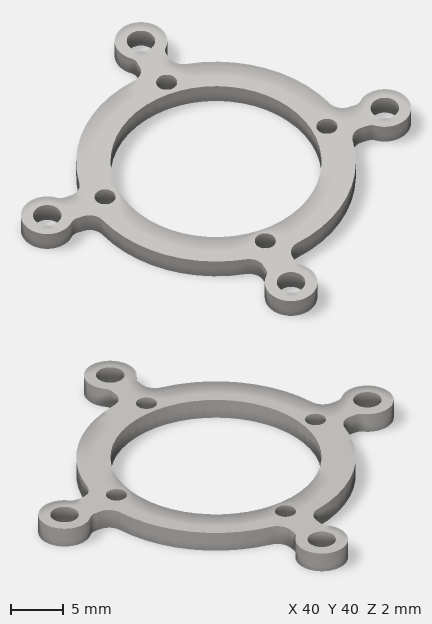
import cadquery as cq
import math

THICKNESS = 2.0
RING_INNER_RADIUS = 10.0
RING_OUTER_RADIUS = 13.25
ARM_COUNT = 4
ARM_WIDTH = 3.0
EAR_RADIUS = 2.5
EAR_CENTER_RADIUS = 17.5
EAR_HOLE_DIAMETER = 2.7
RING_HOLE_DIAMETER = 2.0
RING_HOLE_CENTER_RADIUS = 11.5
RING_FILLET_RADIUS = 1.5
EAR_FILLET_RADIUS = 1.0

ARM_STEP = 360.0 / ARM_COUNT


def around_ring(radius):
    """Workplane with one point per arm on a circle of the given radius."""
    return cq.Workplane("XY").polarArray(radius, 0, 360, ARM_COUNT)


def arm_outline():
    """Arm along +X from the ring centre to its ear, with concave blends at both ends."""
    half_width = ARM_WIDTH / 2

    ring_blend_y = half_width + RING_FILLET_RADIUS
    ring_blend_reach = RING_OUTER_RADIUS + RING_FILLET_RADIUS
    ring_blend_x = math.sqrt(ring_blend_reach**2 - ring_blend_y**2)
    ring_share = RING_OUTER_RADIUS / ring_blend_reach
    ring_tangent = (ring_blend_x * ring_share, ring_blend_y * ring_share)

    ear_blend_y = half_width + EAR_FILLET_RADIUS
    ear_blend_reach = EAR_RADIUS + EAR_FILLET_RADIUS
    ear_blend_x = EAR_CENTER_RADIUS - math.sqrt(ear_blend_reach**2 - ear_blend_y**2)
    ear_share = EAR_RADIUS / ear_blend_reach
    ear_tangent = (
        EAR_CENTER_RADIUS + (ear_blend_x - EAR_CENTER_RADIUS) * ear_share,
        ear_blend_y * ear_share,
    )

    def mirrored(point):
        return (point[0], -point[1])

    ring_side = (ring_blend_x, half_width)
    ear_side = (ear_blend_x, half_width)
    ear_tip = (EAR_CENTER_RADIUS + EAR_RADIUS, 0)

    return (
        cq.Workplane("XY")
        .lineTo(*ring_tangent)
        .radiusArc(ring_side, -RING_FILLET_RADIUS)
        .lineTo(*ear_side)
        .radiusArc(ear_tangent, -EAR_FILLET_RADIUS)
        .threePointArc(ear_tip, mirrored(ear_tangent))
        .radiusArc(mirrored(ear_side), -EAR_FILLET_RADIUS)
        .lineTo(*mirrored(ring_side))
        .radiusArc(mirrored(ring_tangent), -RING_FILLET_RADIUS)
        .close()
    )


def build_plate():
    """Ring disc with the arms and ears joined on, all of one thickness."""
    plate = cq.Workplane("XY").circle(RING_OUTER_RADIUS).extrude(THICKNESS)
    arm = arm_outline().extrude(THICKNESS)
    for index in range(ARM_COUNT):
        plate = plate.union(arm.rotate((0, 0, 0), (0, 0, 1), index * ARM_STEP))
    return plate


def build_openings():
    """Cutters for the central bore, the ear holes and the ring holes."""
    bore = cq.Workplane("XY").circle(RING_INNER_RADIUS).extrude(THICKNESS)
    ear_holes = around_ring(EAR_CENTER_RADIUS).circle(EAR_HOLE_DIAMETER / 2).extrude(THICKNESS)
    ring_holes = around_ring(RING_HOLE_CENTER_RADIUS).circle(RING_HOLE_DIAMETER / 2).extrude(THICKNESS)
    return [bore, ear_holes, ring_holes]


result = build_plate()
for opening in build_openings():
    result = result.cut(opening)